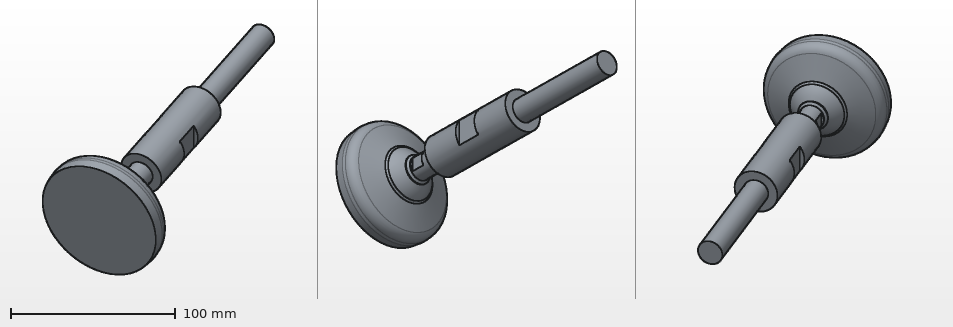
import cadquery as cq
import math

TOTAL_LENGTH = 206.5

ROD_RADIUS = 16.0 / 2
ROD_FLAT_THICKNESS = 13.0
ROD_FLAT_START = 33.2
ROD_FLAT_LENGTH = 10.0
COLLAR_TOP = 32.2
COLLAR_BOTTOM = 30.8
COLLAR_RADIUS = 9.7
BALL_RADIUS = 21.7
BALL_CENTER = 10.7
BALL_MIDDLE_ANGLE = 30

PAD_RADIUS = 80.0 / 2
SOLE_RADIUS = 39.2
SKIRT_HEIGHT = 6.5
SHOULDER_START = 8.9
SHOULDER_START_RADIUS = 39.6
SHOULDER_END = 16.0
SHOULDER_END_RADIUS = 35.1
SHOULDER_MIDDLE = (38.5, 13.2)
LIP_BASE = 22.0
LIP_BASE_RADIUS = 19.0
LIP_TOP = 23.3
SOCKET_MIDDLE_ANGLE = 15

SLEEVE_RADIUS = 27.9 / 2
SLEEVE_START = 53.0
SLEEVE_LENGTH = 75.0
SLEEVE_FLAT_THICKNESS = 21.9
SLEEVE_FLAT_LENGTH = 17.3


def ball_radius_at(y):
    """Radius of the ball's cross-section at height y."""
    return math.sqrt(BALL_RADIUS**2 - (y - BALL_CENTER)**2)


def ball_height_at(radius):
    """Height of the upper ball surface at a distance from the axis."""
    return BALL_CENTER + math.sqrt(BALL_RADIUS**2 - radius**2)


def ball_point(angle_degrees):
    """Profile point on the ball, at an angle above its equator."""
    angle = math.radians(angle_degrees)
    return BALL_RADIUS * math.cos(angle), BALL_CENTER + BALL_RADIUS * math.sin(angle)


def revolve_about_y(profile):
    return profile.close().revolve(360, (0, 0, 0), (0, 1, 0))


def cylinder_along_y(radius, start, length):
    return cq.Workplane("XZ", origin=(0, start, 0)).circle(radius).extrude(-length)


def cut_flats(body, body_radius, thickness, start, length):
    """Cut two parallel flats facing -X and +X."""
    for side in (-1, 1):
        cutter = cq.Workplane("XY").box(body_radius, length, 2 * body_radius)
        offset = side * (thickness + body_radius) / 2
        body = body.cut(cutter.translate((offset, start + length / 2, 0)))
    return body


def make_stud():
    ball_top = ball_height_at(COLLAR_RADIUS)
    profile = (
        cq.Workplane("XY")
        .moveTo(0, BALL_CENTER)
        .lineTo(BALL_RADIUS, BALL_CENTER)
        .threePointArc(ball_point(BALL_MIDDLE_ANGLE), (COLLAR_RADIUS, ball_top))
        .lineTo(COLLAR_RADIUS, COLLAR_BOTTOM)
        .lineTo(ROD_RADIUS, COLLAR_TOP)
        .lineTo(ROD_RADIUS, TOTAL_LENGTH)
        .lineTo(0, TOTAL_LENGTH)
    )
    stud = revolve_about_y(profile)
    return cut_flats(stud, ROD_RADIUS, ROD_FLAT_THICKNESS, ROD_FLAT_START, ROD_FLAT_LENGTH)


def make_pad():
    """Round pad whose domed top holds the half ball in a matching socket."""
    profile = (
        cq.Workplane("XY")
        .lineTo(SOLE_RADIUS, 0)
        .lineTo(PAD_RADIUS, SKIRT_HEIGHT)
        .lineTo(SHOULDER_START_RADIUS, SHOULDER_START)
        .threePointArc(SHOULDER_MIDDLE, (SHOULDER_END_RADIUS, SHOULDER_END))
        .lineTo(LIP_BASE_RADIUS, LIP_BASE)
        .lineTo(ball_radius_at(LIP_TOP), LIP_TOP)
        .threePointArc(ball_point(SOCKET_MIDDLE_ANGLE), (BALL_RADIUS, BALL_CENTER))
        .lineTo(0, BALL_CENTER)
    )
    return revolve_about_y(profile)


def make_sleeve():
    sleeve = cylinder_along_y(SLEEVE_RADIUS, SLEEVE_START, SLEEVE_LENGTH)
    flat_start = SLEEVE_START + (SLEEVE_LENGTH - SLEEVE_FLAT_LENGTH) / 2
    sleeve = cut_flats(sleeve, SLEEVE_RADIUS, SLEEVE_FLAT_THICKNESS, flat_start, SLEEVE_FLAT_LENGTH)
    return sleeve.cut(cylinder_along_y(ROD_RADIUS, SLEEVE_START, SLEEVE_LENGTH))


stud = make_stud()
pad = make_pad()
sleeve = make_sleeve()

result = cq.Compound.makeCompound([stud.val(), pad.val(), sleeve.val()])